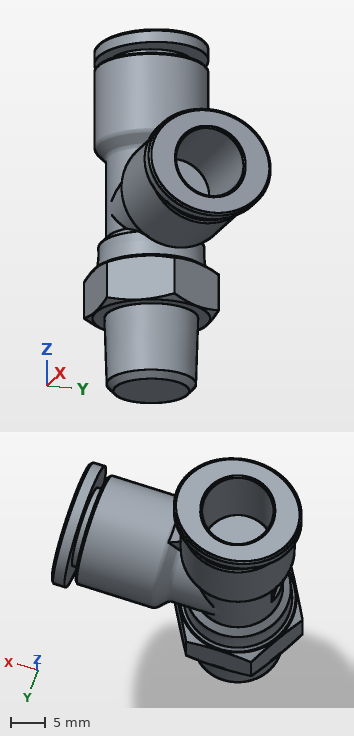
import cadquery as cq
import math

TOTAL_HEIGHT = 51.6
PORT_REACH = 25.05
BRANCH_Z = TOTAL_HEIGHT - PORT_REACH
OVERLAP = 0.25

RING_LENGTH = 18.5
RING_WIDTH = 16.0
RING_THICKNESS = 2.0
RING_CHAMFER = 0.3
RING_NECK_RADIUS = 5.9
PORT_RADIUS = 8.15
PORT_TOP = 3.2
PORT_CHAMFER = 0.3
TAPER_TOP = 15.05
TAPER_LENGTH = 1.7
TAPER_FILLET = 0.8
BORE_RADIUS = 5.1
BORE_CHAMFER = 0.25
BORE_DEPTH = 14.7

NECK_RADIUS = 6.5

GUSSET_WIDTH = 2.95
GUSSET_ROOT = 0.75
GUSSET_REACH = 17.95

POCKET_FLAT_WIDTH = 5.15
POCKET_FLAT_HEIGHT = 3.1
POCKET_CENTRE_Z = 28.65
POCKET_FLAT_X = math.sqrt(NECK_RADIUS ** 2 - (POCKET_FLAT_WIDTH / 2) ** 2)

COLLAR_RADIUS = 7.6
COLLAR_TOP_Z = 22.65
COLLAR_SHOULDER_Z = 21.55
COLLAR_FLARE_Z = 20.1
COLLAR_FOOT_RADIUS = 7.8
COLLAR_FOOT_Z = 18.0
SEAT_RADIUS = 8.25

NUT_ACROSS_FLATS = 17.0
NUT_BOTTOM_Z = 10.95
NUT_TOP_Z = 17.6
NUT_FACE_RADIUS = 8.4
NUT_CHAMFER_ANGLE = 25.0

THREAD_TOP_RADIUS = 6.7
THREAD_TAPER = 1 / 32
THREAD_CHAMFER_HEIGHT = 1.05
THREAD_END_RADIUS = 5.4


def revolve_about_z(points):
    """Turn a closed (radius, z) outline about the Z axis."""
    return cq.Workplane("XZ").polyline(points).close().revolve(360, (0, 0, 0), (0, 1, 0))


def make_port():
    """Solid port along +Z from the axis crossing at the origin, ring long side along X."""
    port_top_z = PORT_REACH - PORT_TOP
    taper_top_z = PORT_REACH - TAPER_TOP
    taper_bottom_z = taper_top_z - TAPER_LENGTH
    ring_bottom_z = PORT_REACH - RING_THICKNESS

    body = revolve_about_z([
        (0, 0),
        (NECK_RADIUS, 0),
        (NECK_RADIUS, taper_bottom_z),
        (PORT_RADIUS, taper_top_z),
        (PORT_RADIUS, port_top_z),
        (0, port_top_z),
    ])
    body = body.faces(">Z").chamfer(PORT_CHAMFER)
    half_span = PORT_RADIUS + OVERLAP
    taper_zone = cq.selectors.BoxSelector(
        (-half_span, -half_span, taper_bottom_z - OVERLAP),
        (half_span, half_span, taper_top_z + OVERLAP),
    )
    body = body.edges("%CIRCLE").edges(taper_zone).fillet(TAPER_FILLET)

    ring_neck = (
        cq.Workplane("XY")
        .workplane(offset=port_top_z - OVERLAP)
        .circle(RING_NECK_RADIUS)
        .extrude(ring_bottom_z - port_top_z + 2 * OVERLAP)
    )
    ring = (
        cq.Workplane("XY")
        .workplane(offset=ring_bottom_z)
        .ellipse(RING_LENGTH / 2, RING_WIDTH / 2)
        .extrude(RING_THICKNESS)
        .faces(">Z")
        .chamfer(RING_CHAMFER)
    )
    return body.union(ring_neck).union(ring)


def make_bore():
    """Blind tube bore with a chamfered mouth, in the same frame as the port."""
    bore_bottom_z = PORT_REACH - BORE_DEPTH
    return revolve_about_z([
        (0, bore_bottom_z),
        (BORE_RADIUS, bore_bottom_z),
        (BORE_RADIUS, PORT_REACH - BORE_CHAMFER),
        (BORE_RADIUS + BORE_CHAMFER, PORT_REACH),
        (0, PORT_REACH),
    ])


def to_stem(shape):
    """Place a port shape on top of the stem."""
    return shape.translate((0, 0, BRANCH_Z))


def to_branch(shape):
    """Place a port shape on the +X branch, with the ring's long side along Y."""
    turned = shape.rotate((0, 0, 0), (0, 0, 1), 90)
    return turned.rotate((0, 0, 0), (0, 1, 0), 90).translate((0, 0, BRANCH_Z))


def make_gusset():
    """Web filling the corner between the two ports, closed by a 45 degree edge."""
    inner = NECK_RADIUS - GUSSET_ROOT
    outer = PORT_REACH - TAPER_TOP
    edge_end = GUSSET_REACH - outer
    return (
        cq.Workplane("XZ", origin=(0, 0, BRANCH_Z))
        .polyline([
            (inner, inner),
            (outer, inner),
            (outer, edge_end),
            (edge_end, outer),
            (inner, outer),
        ])
        .close()
        .extrude(GUSSET_WIDTH / 2, both=True)
    )


def make_lower_body():
    """Neck, collar and tapered thread blank below the axis crossing."""
    thread_low_radius = THREAD_TOP_RADIUS - THREAD_TAPER * (NUT_BOTTOM_Z - THREAD_CHAMFER_HEIGHT)
    return revolve_about_z([
        (0, 0),
        (THREAD_END_RADIUS, 0),
        (thread_low_radius, THREAD_CHAMFER_HEIGHT),
        (THREAD_TOP_RADIUS, NUT_BOTTOM_Z),
        (SEAT_RADIUS, NUT_BOTTOM_Z),
        (SEAT_RADIUS, NUT_TOP_Z),
        (COLLAR_FOOT_RADIUS, COLLAR_FOOT_Z),
        (COLLAR_RADIUS, COLLAR_FLARE_Z),
        (COLLAR_RADIUS, COLLAR_SHOULDER_Z),
        (NECK_RADIUS, COLLAR_TOP_Z),
        (NECK_RADIUS, BRANCH_Z),
        (0, BRANCH_Z),
    ])


def make_nut():
    """Hexagon with both ends of its corners turned down to a cone."""
    corner_radius = NUT_ACROSS_FLATS / math.sqrt(3)
    corner_drop = (corner_radius - NUT_FACE_RADIUS) * math.tan(math.radians(NUT_CHAMFER_ANGLE))
    hexagon = (
        cq.Workplane("XY")
        .workplane(offset=NUT_BOTTOM_Z)
        .polygon(6, 2 * corner_radius)
        .extrude(NUT_TOP_Z - NUT_BOTTOM_Z)
    )
    turned_blank = revolve_about_z([
        (0, NUT_BOTTOM_Z),
        (NUT_FACE_RADIUS, NUT_BOTTOM_Z),
        (corner_radius, NUT_BOTTOM_Z + corner_drop),
        (corner_radius, NUT_TOP_Z - corner_drop),
        (NUT_FACE_RADIUS, NUT_TOP_Z),
        (0, NUT_TOP_Z),
    ])
    return hexagon.intersect(turned_blank)


def make_pocket():
    """Cutter for the flat with 45 degree ends on the -X side of the stem."""
    depth = NECK_RADIUS - POCKET_FLAT_X + OVERLAP
    half_height = POCKET_FLAT_HEIGHT / 2
    return (
        cq.Workplane("XZ", origin=(-POCKET_FLAT_X, 0, POCKET_CENTRE_Z))
        .polyline([
            (0, -half_height),
            (0, half_height),
            (-depth, half_height + depth),
            (-depth, -half_height - depth),
        ])
        .close()
        .extrude(NECK_RADIUS, both=True)
    )


port = make_port()
bore = make_bore()
result = (
    make_lower_body()
    .union(make_nut())
    .union(to_stem(port))
    .union(to_branch(port))
    .union(make_gusset())
    .cut(to_stem(bore))
    .cut(to_branch(bore))
    .cut(make_pocket())
)